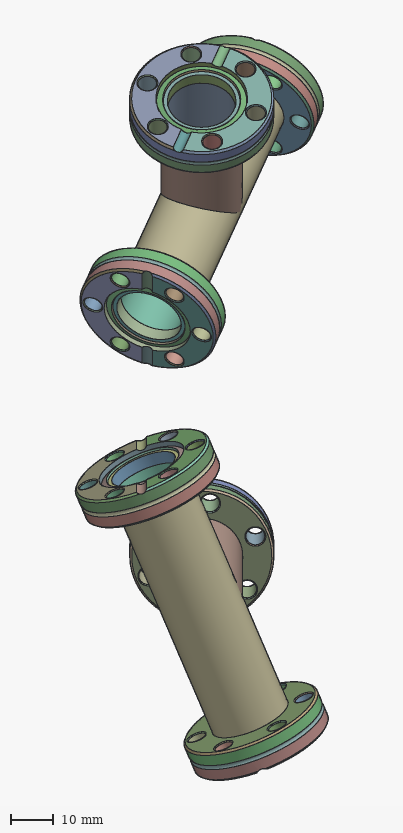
import cadquery as cq
import math


PORT_REACH = 38.1
TUBE_OUTER_DIA = 19.1
BORE_DIA = 16.0

RING_DIA = 33.8
RING_THICKNESS = 7.6
RING_EDGE_CHAMFER = 0.5
RING_RECESS_DIA = 21.4
RING_BORE_DIA = 19.2

BOLT_COUNT = 6
BOLT_CIRCLE_DIA = 27.0
BOLT_HOLE_DIA = 4.4
BOLT_HOLE_CHAMFER = 0.25

RIM_GROOVE_WIDTH = 1.1
RIM_GROOVE_DEPTH = 0.28

LEAK_GROOVE_RADIUS = 1.5
LEAK_GROOVE_DEPTH = 0.7

INSERT_DIA = 21.1
KNIFE_TIP_DIA = 18.3
KNIFE_FOOT_DIA = 17.9
KNIFE_TIP_DEPTH = 0.7
INSERT_SEAT_DEPTH = 1.2
INSERT_BACK_DEPTH = 4.3

RING_BACK = PORT_REACH - RING_THICKNESS
RING_MIDDLE = PORT_REACH - RING_THICKNESS / 2
INSERT_BACK = PORT_REACH - INSERT_BACK_DEPTH
INSERT_SEAT = PORT_REACH - INSERT_SEAT_DEPTH
KNIFE_TIP = PORT_REACH - KNIFE_TIP_DEPTH

PORT_TURNS = {"front": 90, "rear": -90, "top": 0}


def cylinder(diameter, bottom, top):
    """A round bar along Z between two heights."""
    return cq.Workplane("XY").workplane(offset=bottom).circle(diameter / 2).extrude(top - bottom)


def on_port(body, turn):
    """Turn a body from the +Z port onto another port."""
    return body.rotate((0, 0, 0), (1, 0, 0), turn)


def make_tee_tube():
    """The run along Y with the branch along +Z, bored through."""
    run_outer = on_port(cylinder(TUBE_OUTER_DIA, -INSERT_BACK, INSERT_BACK), 90)
    run_bore = on_port(cylinder(BORE_DIA, -INSERT_BACK, INSERT_BACK), 90)
    branch_outer = cylinder(TUBE_OUTER_DIA, 0, INSERT_BACK)
    branch_bore = cylinder(BORE_DIA, 0, INSERT_BACK)
    return run_outer.union(branch_outer).cut(run_bore).cut(branch_bore)


def make_rim_groove():
    """A ring-shaped cutter with a shallow arc section, in the middle of the rim."""
    rim = RING_DIA / 2
    half_width = RIM_GROOVE_WIDTH / 2
    return (
        cq.Workplane("XZ")
        .moveTo(rim, RING_MIDDLE - half_width)
        .threePointArc((rim - RIM_GROOVE_DEPTH, RING_MIDDLE), (rim, RING_MIDDLE + half_width))
        .lineTo(rim + half_width, RING_MIDDLE + half_width)
        .lineTo(rim + half_width, RING_MIDDLE - half_width)
        .close()
        .revolve(360, (0, 0, 0), (0, 1, 0))
    )


def make_leak_grooves():
    """A bar lying along Y that cuts both leak-check grooves into the flange face."""
    axis_height = PORT_REACH - LEAK_GROOVE_DEPTH + LEAK_GROOVE_RADIUS
    return (
        cq.Workplane("XZ")
        .center(0, axis_height)
        .circle(LEAK_GROOVE_RADIUS)
        .extrude(RING_DIA / 2, both=True)
    )


def make_bolt_hole():
    """A cutter for one bolt hole, widened by a chamfer at both faces."""
    hole = cylinder(BOLT_HOLE_DIA, RING_BACK, PORT_REACH)
    radius = BOLT_HOLE_DIA / 2
    mouth_radius = radius + BOLT_HOLE_CHAMFER
    up = cq.Vector(0, 0, 1)
    for face_height, inward in ((PORT_REACH, -up), (RING_BACK, up)):
        mouth_centre = cq.Vector(0, 0, face_height)
        mouth = cq.Solid.makeCone(mouth_radius, radius, BOLT_HOLE_CHAMFER, mouth_centre, inward)
        hole = hole.union(cq.Workplane(mouth))
    return hole


def make_bolt_ring():
    """The outer flange ring of the +Z port."""
    ring = cylinder(RING_DIA, RING_BACK, PORT_REACH).edges("%CIRCLE").chamfer(RING_EDGE_CHAMFER)
    ring = ring.cut(cylinder(RING_BORE_DIA, RING_BACK, PORT_REACH))
    ring = ring.cut(cylinder(RING_RECESS_DIA, INSERT_BACK, PORT_REACH))
    ring = ring.cut(make_rim_groove()).cut(make_leak_grooves())
    bolt_hole = make_bolt_hole()
    for index in range(BOLT_COUNT):
        angle = 2 * math.pi * index / BOLT_COUNT
        x = BOLT_CIRCLE_DIA / 2 * math.cos(angle)
        y = BOLT_CIRCLE_DIA / 2 * math.sin(angle)
        ring = ring.cut(bolt_hole.translate((x, y, 0)))
    return ring


def make_knife_insert():
    """The sealing insert of the +Z port, with a knife edge sloped on both sides."""
    profile = [
        (BORE_DIA / 2, INSERT_BACK),
        (INSERT_DIA / 2, INSERT_BACK),
        (INSERT_DIA / 2, INSERT_SEAT),
        (KNIFE_TIP_DIA / 2, KNIFE_TIP),
        (KNIFE_FOOT_DIA / 2, INSERT_SEAT),
        (BORE_DIA / 2, INSERT_SEAT),
    ]
    return cq.Workplane("XZ").polyline(profile).close().revolve(360, (0, 0, 0), (0, 1, 0))


tee_tube = make_tee_tube()
bolt_ring = make_bolt_ring()
knife_insert = make_knife_insert()

bodies = tee_tube.solids().vals()
for turn in PORT_TURNS.values():
    bodies += on_port(bolt_ring, turn).solids().vals()
    bodies += on_port(knife_insert, turn).solids().vals()

result = cq.Compound.makeCompound(bodies)